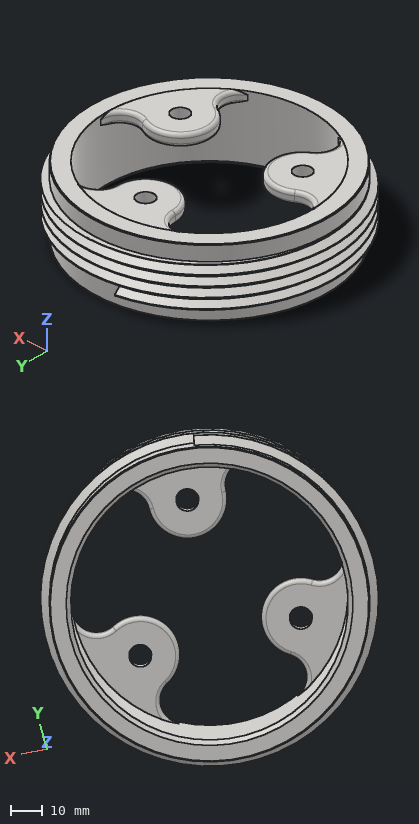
import cadquery as cq
import math

RING_HEIGHT = 28.5
RING_RADIUS = 50.8
BORE_RADIUS = 44.0
RIM_CHAMFER = 0.3
BORE_CHAMFER = 1.5

THREAD_RADIUS = 53.6
THREAD_PITCH = 4.24
THREAD_CREST_WIDTH = 0.3
THREAD_ROOT_GAP = 0.1
THREAD_ROOT_RADIUS = 50.7
THREAD_EMBED = 0.5
THREAD_FOOT_WIDTH = 2.8
THREAD_START_ANGLE = 98.0
THREAD_START_Z = 5.7
THREAD_TOP_Z = 22.1
THREAD_TURNS = 4.6

LUG_COUNT = 3
LUG_FIRST_ANGLE = 90.0
LUG_THICKNESS = 5.0
LUG_END_RADIUS = 12.7
LUG_HOLE_OFFSET = 30.2
LUG_HOLE_DIAMETER = 7.1
LUG_EDGE_FILLET = 1.5


def make_thread():
    """Sweep the thread ridge along a helix and cut its upper end off flat."""
    half_root = (THREAD_PITCH - THREAD_ROOT_GAP) / 2
    half_crest = THREAD_CREST_WIDTH / 2
    half_foot = THREAD_FOOT_WIDTH / 2
    foot_radius = THREAD_ROOT_RADIUS - THREAD_EMBED
    helix = cq.Wire.makeHelix(THREAD_PITCH, THREAD_PITCH * THREAD_TURNS, RING_RADIUS)
    ridge = (
        cq.Workplane("XZ")
        .polyline([
            (foot_radius, -half_foot),
            (THREAD_ROOT_RADIUS, -half_root),
            (THREAD_RADIUS, -half_crest),
            (THREAD_RADIUS, half_crest),
            (THREAD_ROOT_RADIUS, half_root),
            (foot_radius, half_foot),
        ])
        .close()
        .sweep(cq.Workplane(obj=helix), isFrenet=True)
        .rotate((0, 0, 0), (0, 0, 1), THREAD_START_ANGLE)
        .translate((0, 0, THREAD_START_Z))
    )
    space_above = (
        cq.Workplane("XY")
        .workplane(offset=THREAD_TOP_Z)
        .circle(2 * THREAD_RADIUS)
        .extrude(RING_HEIGHT)
    )
    return ridge.cut(space_above)


def make_ring():
    """Plain ring with broken outer edges, carrying the external thread."""
    body = (
        cq.Workplane("XY")
        .circle(RING_RADIUS)
        .extrude(RING_HEIGHT)
        .faces("<Z or >Z")
        .edges()
        .chamfer(RIM_CHAMFER)
    )
    bore = cq.Workplane("XY").circle(BORE_RADIUS).extrude(RING_HEIGHT)
    bore_flare = (
        cq.Workplane("XY")
        .circle(BORE_RADIUS + BORE_CHAMFER)
        .workplane(offset=BORE_CHAMFER)
        .circle(BORE_RADIUS)
        .loft()
    )
    return body.union(make_thread()).cut(bore).cut(bore_flare)


def make_lug(angle):
    """Round-ended lug, flush with the ring top, whose sides flare tangentially into the bore."""
    flare_radius = (
        (BORE_RADIUS**2 - LUG_END_RADIUS**2 - LUG_HOLE_OFFSET**2)
        / (2 * (BORE_RADIUS + LUG_END_RADIUS))
    )
    flare_y = LUG_END_RADIUS + flare_radius
    tangent_angle = math.atan2(flare_y, LUG_HOLE_OFFSET)
    tangent_x = BORE_RADIUS * math.cos(tangent_angle)
    tangent_y = BORE_RADIUS * math.sin(tangent_angle)
    middle_angle = (tangent_angle - math.pi / 2) / 2
    middle_x = LUG_HOLE_OFFSET + flare_radius * math.cos(middle_angle)
    middle_y = flare_y + flare_radius * math.sin(middle_angle)
    runout = BORE_RADIUS / 4
    outer_x = tangent_x - runout * math.sin(tangent_angle)
    outer_y = tangent_y + runout * math.cos(tangent_angle)
    blank_x = 2 * BORE_RADIUS
    blank = (
        cq.Workplane("XY")
        .moveTo(outer_x, -outer_y)
        .lineTo(tangent_x, -tangent_y)
        .threePointArc((middle_x, -middle_y), (LUG_HOLE_OFFSET, -LUG_END_RADIUS))
        .threePointArc((LUG_HOLE_OFFSET - LUG_END_RADIUS, 0), (LUG_HOLE_OFFSET, LUG_END_RADIUS))
        .threePointArc((middle_x, middle_y), (tangent_x, tangent_y))
        .lineTo(outer_x, outer_y)
        .lineTo(blank_x, outer_y)
        .lineTo(blank_x, -outer_y)
        .close()
        .extrude(LUG_THICKNESS)
        .faces("<Z or >Z")
        .edges()
        .fillet(LUG_EDGE_FILLET)
    )
    bore_space = cq.Workplane("XY").circle(BORE_RADIUS).extrude(LUG_THICKNESS)
    hole = (
        cq.Workplane("XY")
        .center(LUG_HOLE_OFFSET, 0)
        .circle(LUG_HOLE_DIAMETER / 2)
        .extrude(LUG_THICKNESS)
    )
    return (
        blank.intersect(bore_space)
        .cut(hole)
        .rotate((0, 0, 0), (0, 0, 1), angle)
        .translate((0, 0, RING_HEIGHT - LUG_THICKNESS))
    )


ring = make_ring()
lugs = [make_lug(LUG_FIRST_ANGLE + i * 360 / LUG_COUNT) for i in range(LUG_COUNT)]

result = cq.Compound.makeCompound([ring.val(), *[lug.val() for lug in lugs]])